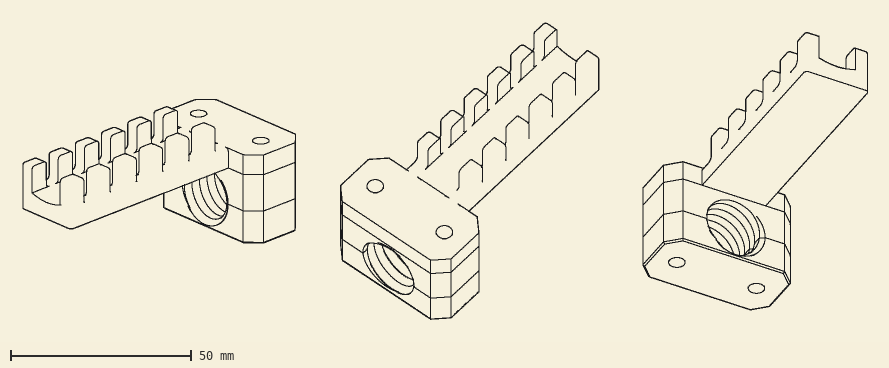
import cadquery as cq
import math

block_width = 40.0
block_depth = 20.0
corner_chamfer = 4.0
lower_height = 10.0
upper_height = 11.0
plate_height = 6.0
base_chamfer = 0.5
clamp_height = lower_height + upper_height

bolt_diameter = 4.6
bolt_spacing = 25.0

bore_diameter = 17.0
bore_radius = bore_diameter / 2
bore_z = clamp_height / 2
groove_radius = 1.4
groove_pitch = 5.8
groove_offset = 0.6
groove_lead_turns = 2
groove_turns = 6

arm_length = 60.0
arm_width = 20.0
peg_count = 6
peg_pitch = arm_length / peg_count
peg_gap = 4.5
peg_height = 8.0
edge_radius = 1.0
trough_width = 11.4
trough_radius = 17.0
arm_floor_z = clamp_height + plate_height
arm_top_z = arm_floor_z + peg_height


def make_layer(bottom_z, height):
    """One plate of the stack, with chamfered vertical corners."""
    return (
        cq.Workplane("XY", origin=(0, block_depth / 2, bottom_z))
        .rect(block_width, block_depth)
        .extrude(height)
        .edges("|Z")
        .chamfer(corner_chamfer)
    )


def make_bolt_holes():
    """Cutters for the bolt holes through the whole stack."""
    return (
        cq.Workplane("XY", origin=(0, block_depth / 2, 0))
        .pushPoints([(-bolt_spacing / 2, 0), (bolt_spacing / 2, 0)])
        .circle(bolt_diameter / 2)
        .extrude(arm_floor_z)
    )


def make_bore():
    """Cutter for the plain bore along Y."""
    return (
        cq.Workplane("XZ", origin=(0, block_depth, bore_z))
        .circle(bore_radius)
        .extrude(block_depth)
    )


def make_groove():
    """Cutter for the helical groove, centred on the bore surface and running out of both faces."""
    helix = cq.Wire.makeHelix(groove_pitch, groove_pitch * groove_turns, bore_radius)
    groove = (
        cq.Workplane("XZ", origin=(bore_radius, 0, 0))
        .circle(groove_radius)
        .sweep(cq.Workplane(obj=helix), isFrenet=True)
    )
    start_y = -groove_offset - groove_lead_turns * groove_pitch
    return groove.rotate((0, 0, 0), (1, 0, 0), -90).translate((0, start_y, bore_z))


def make_arm():
    """Cantilever arm: slotted side profile, rounded outer edges, curved trough between the pegs."""
    arm = (
        cq.Workplane("XY", origin=(0, -arm_length / 2, clamp_height))
        .rect(arm_width, arm_length)
        .extrude(arm_top_z - clamp_height)
    )

    gap = cq.Workplane("XY").box(arm_width, peg_gap, peg_height, centered=(True, False, False))
    for index in range(peg_count):
        arm = arm.cut(gap.translate((0, -index * peg_pitch - peg_gap, arm_floor_z)))

    foot_box = cq.selectors.BoxSelector(
        (-arm_width, -arm_length + edge_radius, arm_floor_z - edge_radius),
        (arm_width, -edge_radius, arm_floor_z + edge_radius),
    )
    arm = arm.edges("|X").edges(foot_box).fillet(edge_radius)

    tops = arm.edges("|X").edges(">Z")
    sides = arm.faces("<X or >X").edges("not(<Z or >Y)")
    arm = arm.newObject(tops.vals() + sides.vals()).fillet(edge_radius)
    return arm.cut(make_trough())


def make_trough():
    """Cutter for the open channel between the peg rows, with a shallow arc for its floor."""
    half_width = trough_width / 2
    sag = trough_radius - math.sqrt(trough_radius**2 - half_width**2)
    return (
        cq.Workplane("XZ")
        .moveTo(-half_width, arm_top_z)
        .lineTo(-half_width, arm_floor_z)
        .threePointArc((0, arm_floor_z - sag), (half_width, arm_floor_z))
        .lineTo(half_width, arm_top_z)
        .close()
        .extrude(arm_length)
    )


bolt_holes = make_bolt_holes()
bore = make_bore()
groove = make_groove()


def make_lower_clamp():
    """Lower part of the clamp, with a chamfer around its underside."""
    body = make_layer(0, lower_height).faces("<Z").edges().chamfer(base_chamfer)
    return body.cut(bolt_holes).cut(groove).cut(bore)


def make_upper_clamp():
    """Upper part of the clamp."""
    return make_layer(lower_height, upper_height).cut(bolt_holes).cut(groove).cut(bore)


def make_rack():
    """Top plate of the stack with the comb arm growing from its front face."""
    return make_layer(clamp_height, plate_height).cut(bolt_holes).union(make_arm())


lower_clamp = make_lower_clamp()
upper_clamp = make_upper_clamp()
rack = make_rack()

result = cq.Compound.makeCompound([lower_clamp.val(), upper_clamp.val(), rack.val()])